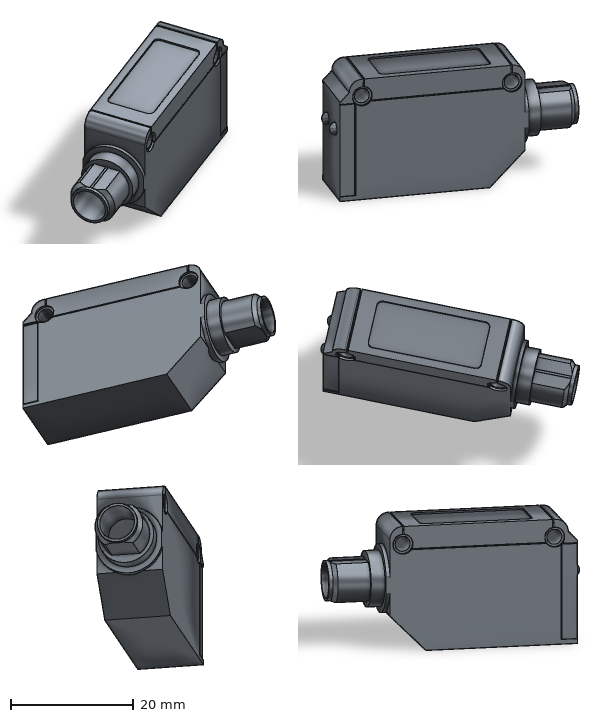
import cadquery as cq
import math

WIDTH = 11.0
LENGTH = 31.4
HEIGHT = 21.0
CORNER_RADIUS = 2.1
FRONT_CHAMFER = 6.0
SHOULDER_HEIGHT = 17.3
REAR_ARC_Y = LENGTH - 3.65

HOLE_DIAMETER = 2.5
HOLE_RIM_DIAMETER = 3.3
HOLE_RIM_DEPTH = 0.4
HOLE_HEIGHT = 18.0
FRONT_HOLE_Y = 2.2
REAR_HOLE_Y = LENGTH - 3.8

SEAM_WIDTH = 0.25
SEAM_TOP_DEPTH = 0.7
SEAM_SIDE_DEPTH = 0.25
FRONT_SEAM_Y = 2.25
REAR_SEAM_Y = LENGTH - 4.05
LONG_SEAM_WIDTH = 0.15
LONG_SEAM_HEIGHT = 17.1

LABEL_WIDTH = 8.3
LABEL_LENGTH = 18.9
LABEL_RADIUS = 0.9
LABEL_DEPTH = 0.3
LABEL_Y = (FRONT_SEAM_Y + REAR_SEAM_Y) / 2

PANEL_LENGTH = 2.7
PANEL_BOTTOM = 0.8
PANEL_TOP = 16.9
PANEL_DEPTH = 0.15
PANEL_GAP = 0.15
PANEL_GAP_DEPTH = 0.3

AXIS_HEIGHT = 11.25
FLANGE_DIAMETER = 11.35
FLANGE_END = 0.65
FLANGE_ROOT = 0.4
COLLAR_DIAMETER = 9.3
COLLAR_END = 2.95
PLUG_DIAMETER = 8.0
PLUG_END = 9.05
PLUG_FLATS = 6.5
TIP_DIAMETER = 6.64
TIP_END = 9.7
BORE_DIAMETER = 5.8
KEY_WIDTH = 0.4

DOME_RADIUS = 1.05
DOME_PROTRUSION = 0.95
DOME_OFFSET = 2.5
DOME_HEIGHT = 11.7

SIDES = (-1, 1)
ACROSS = (-WIDTH / 2, WIDTH / 2)


def box(x_range, y_range, z_range):
    """Axis-aligned box between the given limits."""
    spans = (x_range, y_range, z_range)
    sizes = [high - low for low, high in spans]
    corner = tuple(low for low, high in spans)
    return cq.Workplane("XY").box(*sizes, centered=False).translate(corner)


def side_pocket(side, depth, y_range, z_range):
    """Box reaching the given depth into one side face."""
    outer = side * WIDTH / 2
    inner = outer - side * depth
    return box(sorted((inner, outer)), y_range, z_range)


def rod(diameter, start, end):
    """Cylinder on the connector axis, between two distances ahead of the front face."""
    plane = cq.Workplane("XZ", origin=(0, -start, AXIS_HEIGHT))
    return plane.circle(diameter / 2).extrude(end - start)


def make_housing():
    diagonal = CORNER_RADIUS * math.sqrt(0.5)
    arc_z = HEIGHT - CORNER_RADIUS
    miss = (LENGTH + SHOULDER_HEIGHT - REAR_ARC_Y - arc_z) / math.sqrt(2)
    meeting_angle = math.pi / 4 - math.acos(miss / CORNER_RADIUS)
    meeting_y = REAR_ARC_Y + CORNER_RADIUS * math.cos(meeting_angle)
    meeting_z = arc_z + CORNER_RADIUS * math.sin(meeting_angle)
    return (
        cq.Workplane("YZ", origin=(-WIDTH / 2, 0, 0))
        .moveTo(FRONT_CHAMFER, 0)
        .lineTo(LENGTH, 0)
        .lineTo(LENGTH, SHOULDER_HEIGHT)
        .lineTo(meeting_y, meeting_z)
        .threePointArc((REAR_ARC_Y + diagonal, arc_z + diagonal), (REAR_ARC_Y, HEIGHT))
        .lineTo(CORNER_RADIUS, HEIGHT)
        .threePointArc((CORNER_RADIUS - diagonal, arc_z + diagonal), (0, arc_z))
        .lineTo(0, FRONT_CHAMFER)
        .close()
        .extrude(WIDTH)
    )


def cut_holes(body):
    rim_floor = WIDTH / 2 - HOLE_RIM_DEPTH
    for y in (FRONT_HOLE_Y, REAR_HOLE_Y):
        hole_plane = cq.Workplane("YZ").center(y, HOLE_HEIGHT)
        body = body.cut(hole_plane.circle(HOLE_DIAMETER / 2).extrude(WIDTH / 2, both=True))
        rims = hole_plane.circle(HOLE_RIM_DIAMETER / 2).extrude(WIDTH / 2, both=True)
        core = rims.intersect(box((-rim_floor, rim_floor), (0, LENGTH), (0, HEIGHT)))
        body = body.cut(rims.cut(core))
    return body


def cut_seams(body):
    for y in (FRONT_SEAM_Y, REAR_SEAM_Y):
        seam_y = (y - SEAM_WIDTH / 2, y + SEAM_WIDTH / 2)
        body = body.cut(box(ACROSS, seam_y, (HEIGHT - SEAM_TOP_DEPTH, HEIGHT)))
        for side in SIDES:
            body = body.cut(side_pocket(side, SEAM_SIDE_DEPTH, seam_y, (HOLE_HEIGHT, HEIGHT)))
    long_seam = (LONG_SEAM_HEIGHT - LONG_SEAM_WIDTH / 2, LONG_SEAM_HEIGHT + LONG_SEAM_WIDTH / 2)
    for side in SIDES:
        body = body.cut(side_pocket(side, SEAM_SIDE_DEPTH, (FRONT_HOLE_Y, REAR_HOLE_Y), long_seam))
    return body


def cut_label(body):
    label = (
        cq.Workplane("XY", origin=(0, LABEL_Y, HEIGHT - LABEL_DEPTH))
        .rect(LABEL_WIDTH, LABEL_LENGTH)
        .extrude(LABEL_DEPTH)
        .edges("|Z")
        .fillet(LABEL_RADIUS)
    )
    return body.cut(label)


def cut_panels(body):
    front = LENGTH - PANEL_LENGTH
    height = (PANEL_BOTTOM, PANEL_TOP)
    for side in SIDES:
        body = body.cut(side_pocket(side, PANEL_DEPTH, (front, LENGTH), height))
        body = body.cut(side_pocket(side, PANEL_GAP_DEPTH, (front, front + PANEL_GAP), height))
        top_gap = (PANEL_TOP - PANEL_GAP, PANEL_TOP)
        body = body.cut(side_pocket(side, PANEL_GAP_DEPTH, (front, LENGTH), top_gap))
    return body


def make_connector():
    full_y = (-TIP_END, FLANGE_ROOT)
    flange_z = (AXIS_HEIGHT - FLANGE_DIAMETER / 2, AXIS_HEIGHT + FLANGE_DIAMETER / 2)
    flange = rod(FLANGE_DIAMETER, -FLANGE_ROOT, FLANGE_END)
    flange = flange.intersect(box(ACROSS, full_y, flange_z))

    flats_z = (AXIS_HEIGHT - PLUG_FLATS / 2, AXIS_HEIGHT + PLUG_FLATS / 2)
    plug_chamfer = (PLUG_DIAMETER - TIP_DIAMETER) / 2
    plug = rod(PLUG_DIAMETER, COLLAR_END, PLUG_END).faces("<Y").chamfer(plug_chamfer)
    plug = plug.intersect(box(ACROSS, full_y, flats_z))

    key_top = AXIS_HEIGHT + TIP_DIAMETER / 2
    key = box((-KEY_WIDTH / 2, KEY_WIDTH / 2), (-PLUG_END, -COLLAR_END), (AXIS_HEIGHT, key_top))
    collar = rod(COLLAR_DIAMETER, FLANGE_END, COLLAR_END)
    tip = rod(TIP_DIAMETER, PLUG_END, TIP_END)
    solid = flange.union(collar).union(plug).union(tip).union(key)
    return solid.cut(rod(BORE_DIAMETER, COLLAR_END, TIP_END))


def add_domes(body):
    centre_y = LENGTH + DOME_PROTRUSION - DOME_RADIUS
    for side in SIDES:
        dome = cq.Workplane("XY").sphere(DOME_RADIUS)
        body = body.union(dome.translate((side * DOME_OFFSET, centre_y, DOME_HEIGHT)))
    return body


housing = cut_panels(cut_label(cut_seams(cut_holes(make_housing()))))
result = add_domes(housing.union(make_connector()))